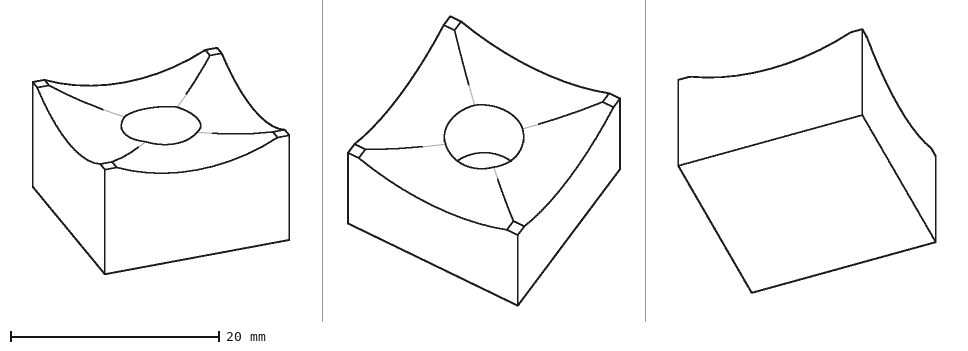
import cadquery as cq

side = 19.05
height = 11.43

trough_depth = 1.9
trough_radius = 19.05
trough_floor = height - trough_depth

hole_diameter = 7.62
hole_floor = 1.9


def trough(plane):
    """Cylinder along the normal of the plane, tangent to the trough floor."""
    return (
        cq.Workplane(plane)
        .center(0, trough_floor + trough_radius)
        .circle(trough_radius)
        .extrude(side, both=True)
    )


block = cq.Workplane("XY").box(side, side, height, centered=(True, True, False))

for trough_plane in ("XZ", "YZ"):
    block = block.cut(trough(trough_plane))

hole = (
    cq.Workplane("XY")
    .workplane(offset=hole_floor)
    .circle(hole_diameter / 2)
    .extrude(height - hole_floor)
)

result = block.cut(hole)